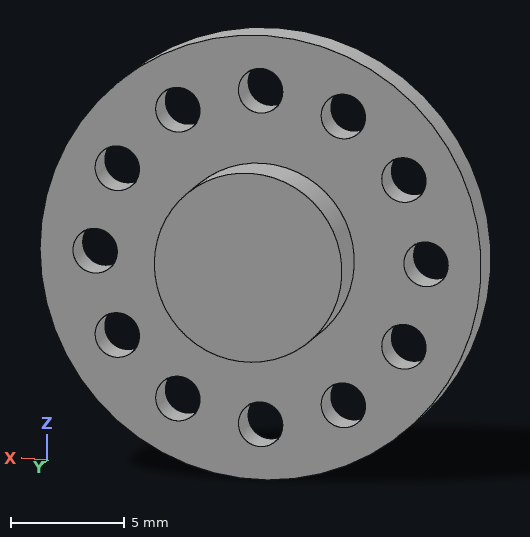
import cadquery as cq

disc_diameter = 20.0
disc_thickness = 2.0

boss_diameter = 8.5
boss_height = 2.5

hole_count = 12
hole_diameter = 2.0
hole_circle_radius = 7.5


def cylinder_along_y(diameter, start_y, length):
    """Solid cylinder on the Y axis, growing from start_y toward +Y."""
    base = cq.Workplane("XZ", origin=(0, start_y, 0))
    return base.circle(diameter / 2).extrude(-length)


def hole_ring():
    """Cutting cylinders for the holes, the first one on the +X axis."""
    base = cq.Workplane("XZ").polarArray(hole_circle_radius, 0, 360, hole_count)
    return base.circle(hole_diameter / 2).extrude(-disc_thickness)


disc = cylinder_along_y(disc_diameter, 0, disc_thickness)
boss = cylinder_along_y(boss_diameter, disc_thickness, boss_height)

result = disc.union(boss).cut(hole_ring())